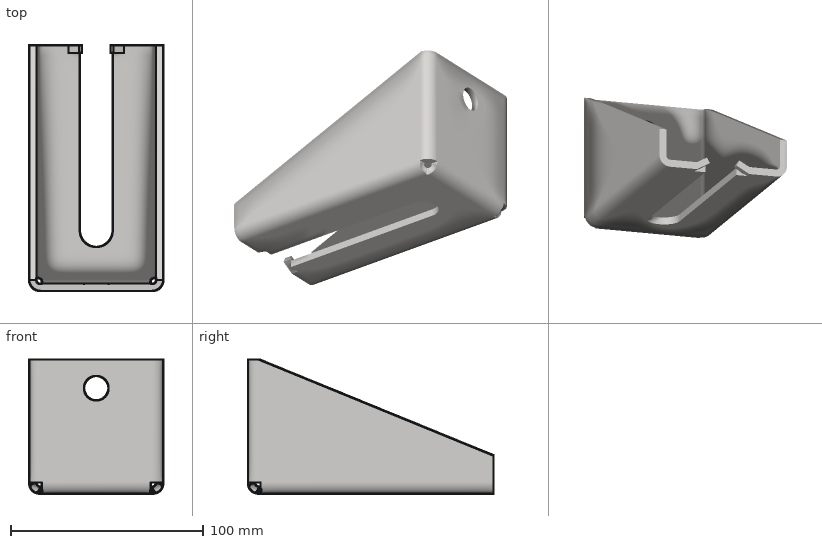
import cadquery as cq
import math

width = 70.0
depth = 128.0
height = 70.0
thickness = 3.8
inner_bend_radius = 2.0
outer_bend_radius = inner_bend_radius + thickness

back_height = 20.0

slot_width = 17.0
slot_front = 23.0
slot_radius = slot_width / 2

hole_diameter = 12.6
hole_height = 55.0

relief_setback = 0.7
relief_ball_center = 3.0
relief_ball_radius = 4.3

lug_length = 4.0
lug_tilt = math.radians(29)
lug_overhang = 1.2
notch_width = 5.9

center_x = width / 2


def quarter_bend(length):
    """Quarter ring along +Z, filling the corner at the origin, tangent to the X and Y axes."""
    ring = (
        cq.Workplane("XY")
        .center(outer_bend_radius, outer_bend_radius)
        .circle(outer_bend_radius)
        .circle(inner_bend_radius)
        .extrude(length)
    )
    corner = cq.Workplane("XY").box(outer_bend_radius, outer_bend_radius, length, centered=False)
    return ring.intersect(corner)


def mirror_left_right(body):
    """Copy of a body on the other side of the middle plane."""
    return body.mirror("YZ", (center_x, 0, 0))


def make_base():
    inset = outer_bend_radius
    base = (
        cq.Workplane("XY")
        .box(width - 2 * inset, depth - inset, thickness, centered=False)
        .translate((inset, inset, 0))
        .edges("|Z and <Y")
        .chamfer(relief_setback)
    )
    slot_center_y = slot_front + slot_radius
    slot_end = cq.Workplane("XY").center(center_x, slot_center_y).circle(slot_radius).extrude(thickness)
    slot_run = (
        cq.Workplane("XY")
        .box(slot_width, depth - slot_center_y, thickness, centered=False)
        .translate((center_x - slot_radius, slot_center_y, 0))
    )
    mouth_width = slot_width + 2 * notch_width
    mouth = (
        cq.Workplane("XY")
        .box(mouth_width, lug_length, thickness, centered=False)
        .translate((center_x - mouth_width / 2, depth - lug_length, 0))
    )
    return base.cut(slot_end).cut(slot_run).cut(mouth)


def make_front_wall():
    wall = (
        cq.Workplane("XY")
        .box(width - 2 * outer_bend_radius, thickness, height - outer_bend_radius, centered=False)
        .translate((outer_bend_radius, 0, outer_bend_radius))
    )
    hole = (
        cq.Workplane("XZ")
        .center(center_x, hole_height)
        .circle(hole_diameter / 2)
        .extrude(-thickness)
    )
    return wall.cut(hole)


def make_left_wall():
    return (
        cq.Workplane("YZ")
        .moveTo(outer_bend_radius, outer_bend_radius)
        .lineTo(depth, outer_bend_radius)
        .lineTo(depth, back_height)
        .lineTo(outer_bend_radius, height)
        .close()
        .extrude(thickness)
    )


def make_front_bend():
    start = outer_bend_radius + relief_setback
    bend = quarter_bend(width - 2 * start)
    return bend.rotate((0, 0, 0), (1, 1, 1), 120).translate((start, 0, 0))


def make_left_bend():
    start = outer_bend_radius + relief_setback
    bend = quarter_bend(depth - start)
    return bend.rotate((0, 0, 0), (1, 1, 1), -120).translate((0, start, 0))


def make_left_corner_bend():
    return quarter_bend(height - outer_bend_radius).translate((0, 0, outer_bend_radius))


def make_left_relief_ball():
    center = relief_ball_center
    return cq.Workplane("XY").sphere(relief_ball_radius).translate((center, center, center))


def make_bracket():
    left_ball = make_left_relief_ball()
    left_bend = make_left_bend().cut(left_ball)
    front_bend = make_front_bend().cut(left_ball).cut(mirror_left_right(left_ball))
    bracket = make_base().union(front_bend).union(make_front_wall())
    for left_part in (make_left_corner_bend(), make_left_wall(), left_bend):
        bracket = bracket.union(left_part).union(mirror_left_right(left_part))
    return bracket


def make_right_lug():
    """Sheet lug hinged on the right wall of the slot mouth notch and tilted up over the slot edge."""
    slot_edge_x = center_x + slot_radius
    hinge_x = slot_edge_x + notch_width
    tip_x = slot_edge_x - lug_overhang
    tip_z = (hinge_x - tip_x) * math.tan(lug_tilt)
    lug_thickness = thickness * math.cos(lug_tilt)
    return (
        cq.Workplane("XZ", origin=(0, depth, 0))
        .moveTo(hinge_x, 0)
        .lineTo(hinge_x, thickness)
        .lineTo(tip_x + lug_thickness * math.sin(lug_tilt), tip_z + lug_thickness * math.cos(lug_tilt))
        .lineTo(tip_x, tip_z)
        .close()
        .extrude(lug_length)
    )


bracket = make_bracket()
right_lug = make_right_lug()
lugs = [right_lug, mirror_left_right(right_lug)]

result = cq.Compound.makeCompound([bracket.val(), *[lug.val() for lug in lugs]])